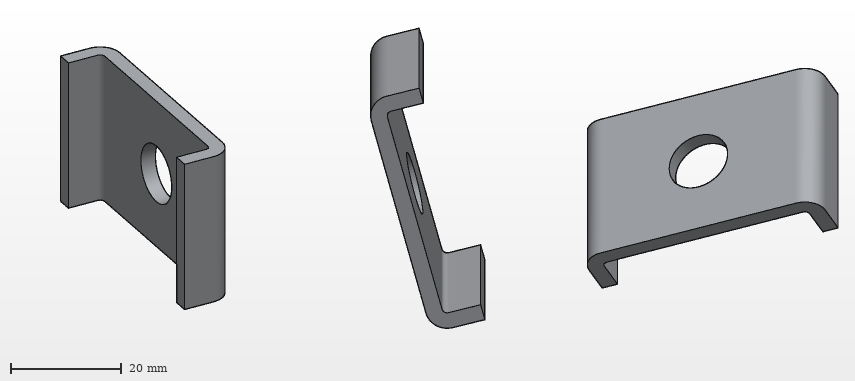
import cadquery as cq

width = 46.5
depth = 10.0
height = 30.0
thickness = 3.0
inner_bend_radius = 0.98
hole_diameter = 11.5

outer_bend_radius = inner_bend_radius + thickness
web_back = depth / 2
web_front = web_back - thickness


def make_channel():
    """U-shaped channel with its flanges pointing toward -Y and rounded bends."""
    blank = (
        cq.Workplane("XY")
        .box(width, depth, height)
        .edges("|Z and >Y")
        .fillet(outer_bend_radius)
    )
    cavity = (
        cq.Workplane("XY")
        .box(width - 2 * thickness, depth, height)
        .edges("|Z and >Y")
        .fillet(inner_bend_radius)
        .translate((0, -thickness, 0))
    )
    return blank.cut(cavity)


def make_web_hole():
    """Cylinder that passes through the web at its centre."""
    return (
        cq.Workplane("XZ", origin=(0, web_back, 0))
        .circle(hole_diameter / 2)
        .extrude(web_back - web_front)
    )


result = make_channel().cut(make_web_hole())